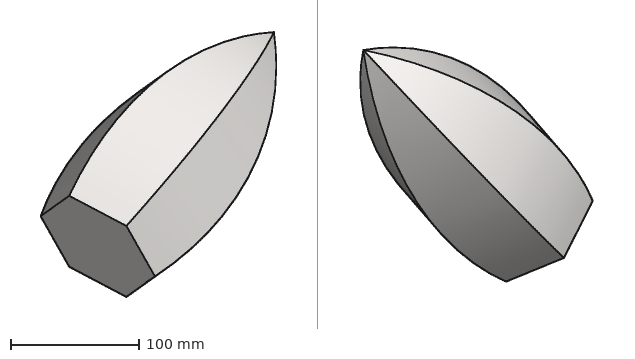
import cadquery as cq
import math

length = 250.0
width_over_flats = 112.5
widest_from_base = 76.2

half_width = width_over_flats / 2
nose_length = length - widest_from_base
arc_radius = (nose_length**2 + half_width**2) / (2 * half_width)
arc_drop_at_base = arc_radius - math.sqrt(arc_radius**2 - widest_from_base**2)
base_half_width = half_width - arc_drop_at_base

slab_width = 2 * width_over_flats
side_pairs = 3
pair_angle = 180.0 / side_pairs


def curved_slab(angle):
    """Pointed slab with two opposite curved sides, turned about the Y axis."""
    return (
        cq.Workplane("YZ")
        .moveTo(0, -base_half_width)
        .threePointArc((widest_from_base, -half_width), (length, 0))
        .threePointArc((widest_from_base, half_width), (0, base_half_width))
        .close()
        .extrude(slab_width / 2, both=True)
        .rotate((0, 0, 0), (0, 1, 0), angle)
    )


result = curved_slab(0)
for pair in range(1, side_pairs):
    result = result.intersect(curved_slab(pair * pair_angle))